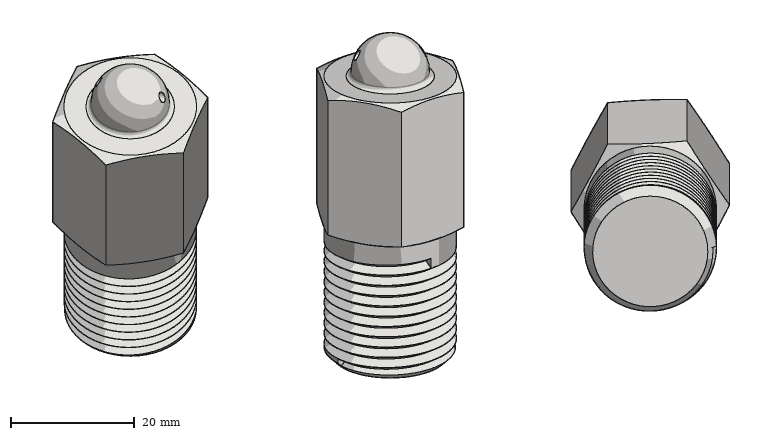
import cadquery as cq
import math

total_height = 56.35
dome_diameter = 12.7
dome_radius = dome_diameter / 2
dome_center_z = total_height - dome_radius
flare_radius = 0.8
hex_top_z = dome_center_z - flare_radius
hex_bottom_z = 23.9

hex_across_flats = 22.2
hex_across_corners = hex_across_flats / math.cos(math.radians(30))
hex_corner_face_diameter = 21.4
hex_chamfer_angle = 20.0

shank_diameter = 21.4
thread_root_diameter = 18.6
shank_radius = shank_diameter / 2
thread_root_radius = thread_root_diameter / 2
thread_depth = shank_radius - thread_root_radius
groove_width = 1.75
groove_height = 18.6
thread_turns = 10.25
thread_pitch = groove_height / thread_turns
thread_end_z = 19.9
thread_end_angle = 150.0
cutter_overshoot = 0.3

hole_diameter = 1.6
hole_z = 53.2
hole_bearing = 30.0


def make_hex_head():
    """Hexagon with both ends turned to a cone so that its corners are chamfered."""
    corner_radius = hex_across_corners / 2
    face_radius = hex_corner_face_diameter / 2
    corner_drop = (corner_radius - face_radius) * math.tan(math.radians(hex_chamfer_angle))
    prism = (
        cq.Workplane("XY")
        .workplane(offset=hex_bottom_z)
        .polygon(6, hex_across_corners)
        .extrude(hex_top_z - hex_bottom_z)
    )
    turned_envelope = (
        cq.Workplane("XZ")
        .moveTo(0, hex_bottom_z)
        .lineTo(face_radius, hex_bottom_z)
        .lineTo(corner_radius, hex_bottom_z + corner_drop)
        .lineTo(corner_radius, hex_top_z - corner_drop)
        .lineTo(face_radius, hex_top_z)
        .lineTo(0, hex_top_z)
        .close()
        .revolve(360, (0, 0, 0), (0, 1, 0))
    )
    return prism.intersect(turned_envelope)


def make_thread_groove():
    """Right-hand V groove that stops square in the plain collar below the head."""
    start_z = thread_end_z - groove_height
    start_angle = thread_end_angle - 360 * thread_turns
    helix = cq.Wire.makeHelix(thread_pitch, groove_height, thread_root_radius)
    cutter_depth = thread_depth + cutter_overshoot
    half_width = groove_width / 2 * cutter_depth / thread_depth
    groove = (
        cq.Workplane("XZ")
        .moveTo(thread_root_radius, 0)
        .lineTo(thread_root_radius + cutter_depth, half_width)
        .lineTo(thread_root_radius + cutter_depth, -half_width)
        .close()
        .sweep(cq.Workplane(obj=helix), isFrenet=True)
    )
    return groove.rotate((0, 0, 0), (0, 0, 1), start_angle).translate((0, 0, start_z))


def make_shank():
    """Round shank, chamfered at the foot down to the thread root."""
    blank = (
        cq.Workplane("XY")
        .circle(shank_radius)
        .extrude(hex_bottom_z)
        .faces("<Z")
        .chamfer(thread_depth)
    )
    return blank.cut(make_thread_groove())


def make_housing():
    """Hexagonal head and threaded shank in one piece."""
    return make_hex_head().union(make_shank())


def make_spray_hole():
    """Level cross hole that opens on opposite sides of the dome."""
    bearing = math.radians(hole_bearing)
    direction = cq.Vector(math.cos(bearing), math.sin(bearing), 0)
    start = cq.Vector(0, 0, hole_z) - direction * dome_radius
    return cq.Solid.makeCylinder(hole_diameter / 2, dome_diameter, start, direction)


def make_nozzle():
    """Hemispherical spray tip whose foot flares out onto the head's top face."""
    flare_outer_radius = dome_radius + flare_radius
    flare_mid_offset = flare_radius * math.sin(math.radians(45))
    dome_mid_offset = dome_radius * math.sin(math.radians(45))
    nozzle = (
        cq.Workplane("XZ")
        .moveTo(0, hex_top_z)
        .lineTo(flare_outer_radius, hex_top_z)
        .threePointArc(
            (flare_outer_radius - flare_mid_offset, dome_center_z - flare_mid_offset),
            (dome_radius, dome_center_z),
        )
        .threePointArc(
            (dome_mid_offset, dome_center_z + dome_mid_offset),
            (0, total_height),
        )
        .close()
        .revolve(360, (0, 0, 0), (0, 1, 0))
    )
    return nozzle.cut(cq.Workplane(obj=make_spray_hole()))


housing = make_housing()
nozzle = make_nozzle()
result = cq.Compound.makeCompound([*housing.solids().vals(), *nozzle.solids().vals()])